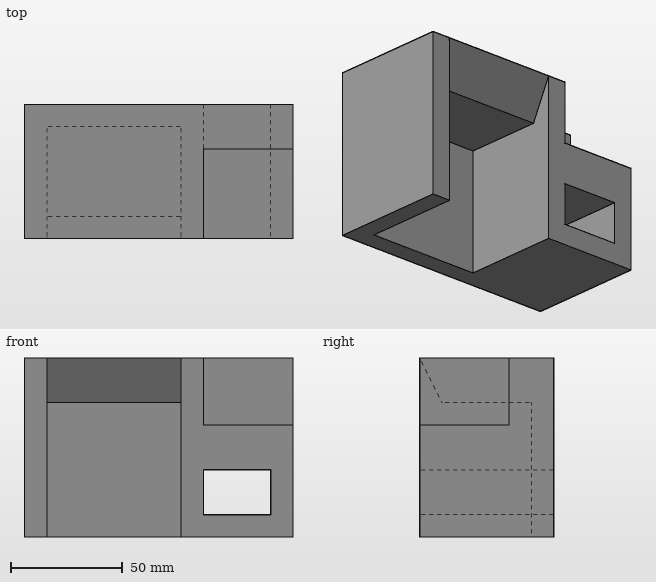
import cadquery as cq

length = 120.0
depth = length / 2
height = length * 2 / 3
wall = length / 12

channel_width = 6 * wall
channel_depth = depth - wall
channel_height = 6 * wall
roof_bevel_depth = wall

step_width = 4 * wall
step_depth = 4 * wall
step_height = 3 * wall

window_width = 3 * wall
window_height = 2 * wall

left = -length / 2
right = length / 2
front = -depth / 2


def box(x, y, z, size_x, size_y, size_z):
    """Box placed by its left, front, bottom corner."""
    return cq.Workplane("XY").box(size_x, size_y, size_z, centered=False).translate((x, y, z))


def channel():
    """Channel with a flat ceiling and a bevel rising to the front top edge."""
    back = front + channel_depth
    profile = [
        (front, 0),
        (back, 0),
        (back, channel_height),
        (front + roof_bevel_depth, channel_height),
        (front, height),
    ]
    return (
        cq.Workplane("YZ", origin=(left + wall, 0, 0))
        .polyline(profile)
        .close()
        .extrude(channel_width)
    )


body = box(left, front, 0, length, depth, height)
step = box(right - step_width, front, height - step_height, step_width, step_depth, step_height)
window = box(right - wall - window_width, front, wall, window_width, depth, window_height)

result = body.cut(channel()).cut(step).cut(window)